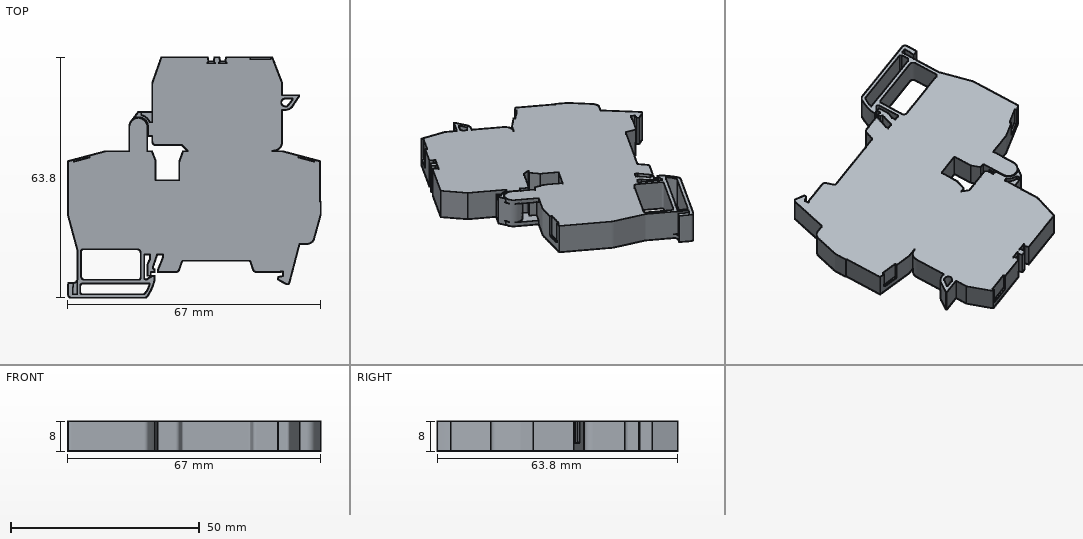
import cadquery as cq
import math

length = 67.0
height = 63.8
thickness = 8.0
joint_overlap = 0.7

side_bulge = 0.2
right_side_x = length - side_bulge
shoulder_y = 38.9
side_top_y = 36.25
shoulder_run = 10.05
wall_x = 2.5
rail_face_y = 6.85
rail_gap_y = 9.85
rail_x = 39.25
rail_top_half = 9.0
rail_bottom_half = 10.0
spring_root_y = 11.45

module_left_x = 22.3
module_corner_radius = 1.0
module_heel_radius = 2.3
module_gap = 0.1
module_gap_depth = 0.35
module_right_x = 56.75
module_bottom_y = 40.5

pivot_x = 18.6
pivot_y = 45.3
pivot_radius = 2.4
lever_top_y = 49.3
cheek_thickness = 1.2
cheek_web_y = 40.9
cheek_clearance = 0.2
lever_recess_radius = 3.3
lever_recess_y = 46.55
lever_recess_offset = 0.8
cheek_web_offset = 0.7

foot_right_x = 20.25
foot_hook_y = 4.0
foot_slot_bottom_y = 1.0
foot_web = 1.2

marker_floor_z = 2.15
marker_depth = 0.55
marker_round = 0.4
top_marker_width = 5.4
top_marker_x = 51.0
shoulder_marker_width = 4.4
shoulder_marker_inset = 3.55
notch_count = 2
notch_pitch = 3.1
notch_x = 37.9
notch_neck_depth = 1.0
notch_full_depth = 1.6
notch_pocket_depth = 2.0


def corner_arc(before, corner, after):
    """Start, middle and end of the arc that rounds a corner (x, y, radius)."""
    x, y, radius = corner
    to_before = math.atan2(before[1] - y, before[0] - x)
    to_after = math.atan2(after[1] - y, after[0] - x)
    half = abs(math.remainder(to_after - to_before, math.tau)) / 2
    bisector = to_before + math.remainder(to_after - to_before, math.tau) / 2
    tangent = radius / math.tan(half)
    inset = radius / math.sin(half) - radius

    def along(angle, distance):
        return (x + distance * math.cos(angle), y + distance * math.sin(angle))

    return along(to_before, tangent), along(bisector, inset), along(to_after, tangent)


def plate(corners, z_from=0.0, z_to=thickness):
    """Extrude a closed outline; a corner is (x, y) or (x, y, rounding radius)."""
    sketch = None
    for i, corner in enumerate(corners):
        before = corners[i - 1]
        after = corners[(i + 1) % len(corners)]
        arc = corner_arc(before, corner, after) if len(corner) == 3 else None
        start = arc[0] if arc else corner
        if sketch is None:
            sketch = cq.Workplane("XY", origin=(0, 0, z_from)).moveTo(*start)
        else:
            sketch = sketch.lineTo(*start)
        if arc:
            sketch = sketch.threePointArc(arc[1], arc[2])
    return sketch.close().extrude(z_to - z_from)


def box(x_from, x_to, y_from, y_to, z_from=0.0, z_to=thickness):
    """Axis-aligned block between two corners."""
    size = (x_to - x_from, y_to - y_from, z_to - z_from)
    return cq.Workplane("XY").box(*size, centered=False).translate((x_from, y_from, z_from))


def pivot_disc(radius, z_from=0.0, z_to=thickness):
    """Disc about the lever pivot."""
    disc = cq.Workplane("XY", origin=(pivot_x, pivot_y, z_from)).circle(radius)
    return disc.extrude(z_to - z_from)


def rail_housing():
    frame_overlap_y = 12.05
    return plate([
        (wall_x, 12.65),
        (0, 21.85, 2.55),
        (0, side_top_y),
        (shoulder_run, shoulder_y),
        (22.25, shoulder_y),
        (23.25, 36.4),
        (23.25, 31.2),
        (29.5, 31.2),
        (29.5, 36.2),
        (30.5, shoulder_y),
        (right_side_x - shoulder_run, shoulder_y),
        (right_side_x, side_top_y),
        (right_side_x, 25.5),
        (length, 25.5),
        (length, 22.1),
        (64.85, 14.3, 2.1),
        (61.4, 14.3),
        (58.5, 3.3, 0.6),
        (55.6, 4.9),
        (55.7, 5.55),
        (56.95, 5.8),
        (56.95, 7.0),
        (56.35, 7.0),
        (56.35, rail_face_y),
        (rail_x + rail_bottom_half, rail_face_y, 1.1),
        (rail_x + rail_top_half, rail_gap_y, 0.5),
        (rail_x - rail_top_half, rail_gap_y, 0.5),
        (rail_x - rail_bottom_half, rail_face_y, 1.1),
        (23.85, rail_face_y),
        (23.85, 7.5),
        (25.1, 10.7),
        (25.1, spring_root_y),
        (23.65, spring_root_y),
        (22.45, 7.9),
        (23.0, 7.6),
        (23.0, rail_face_y),
        (22.0, rail_face_y),
        (22.0, 5.8),
        (21.05, 5.8),
        (21.05, 8.85),
        (21.7, 10.3),
        (21.7, spring_root_y),
        (foot_right_x, spring_root_y),
        (foot_right_x, frame_overlap_y),
        (wall_x, frame_overlap_y),
    ])


def foot_frame():
    joint_y = 13.4
    frame = (
        cq.Workplane("XY")
        .moveTo(wall_x, joint_y)
        .lineTo(wall_x, foot_slot_bottom_y)
        .lineTo(1.3, foot_slot_bottom_y)
        .lineTo(1.3, 2.3)
        .lineTo(1.5, foot_hook_y)
        .lineTo(0.1, foot_hook_y)
        .lineTo(0, foot_hook_y - 0.55)
        .lineTo(0, 0.95)
        .threePointArc((0.3, 0.3), (0.95, 0))
        .lineTo(20.2, 0)
        .threePointArc((20.85, 0.2), (21.25, 0.7))
        .threePointArc((22.25, 2.55), (23.0, 4.7))
        .lineTo(23.0, 5.8)
        .lineTo(22.3, 5.8)
        .lineTo(21.1, 5.1)
        .threePointArc((20.5, 4.95), (foot_right_x, 5.35))
        .lineTo(foot_right_x, joint_y)
        .close()
        .extrude(thickness)
    )
    blend = 1.0
    blend_mid = blend * (1 - math.sqrt(0.5))
    web_left_x = 0.7
    web_bottom_y = 0.7
    web_right_x = wall_x + 0.35
    web = (
        cq.Workplane("XY")
        .moveTo(web_left_x, web_bottom_y)
        .lineTo(web_left_x, foot_hook_y)
        .lineTo(wall_x - blend, foot_hook_y)
        .threePointArc((wall_x - blend_mid, foot_hook_y + blend_mid), (wall_x, foot_hook_y + blend))
        .lineTo(web_right_x, foot_hook_y + blend)
        .lineTo(web_right_x, web_bottom_y)
        .close()
        .extrude(foot_web)
    )
    return frame.union(web)


def foot_windows():
    upper = plate([(3.5, 4.8, 0.95), (19.2, 4.8, 0.55), (19.2, 12.85, 0.95), (3.5, 12.85, 0.55)])
    lower = (
        cq.Workplane("XY")
        .moveTo(3.6, foot_slot_bottom_y)
        .lineTo(20.2, foot_slot_bottom_y)
        .threePointArc((21.1, 2.3), (21.65, 3.8))
        .lineTo(3.9, 3.8)
        .threePointArc((3.5, 3.6), (3.3, 3.1))
        .lineTo(3.3, 1.35)
        .close()
        .extrude(thickness)
    )
    return upper.union(lower)


def plug_module():
    foot_y = shoulder_y - 0.15
    heel = module_heel_radius
    heel_y = shoulder_y + module_gap
    heel_inset = heel * (1 - math.sqrt(0.5))
    heel_middle = (module_right_x - heel_inset, heel_y + heel_inset)
    gap_end_x = module_right_x - heel - module_gap_depth
    corner = module_corner_radius
    corner_inset = corner * (1 - math.sqrt(0.5))
    corner_middle = (module_left_x + corner_inset, module_bottom_y + corner_inset)
    block = (
        cq.Workplane("XY")
        .moveTo(24.7, height)
        .lineTo(54.15, height)
        .lineTo(module_right_x, 57.0)
        .lineTo(module_right_x, heel_y + heel)
        .threePointArc(heel_middle, (module_right_x - heel, heel_y))
        .lineTo(gap_end_x, heel_y)
        .lineTo(gap_end_x, foot_y)
        .lineTo(31.8, foot_y)
        .lineTo(30.15, module_bottom_y)
        .lineTo(module_left_x + corner, module_bottom_y)
        .threePointArc(corner_middle, (module_left_x, module_bottom_y + corner))
        .lineTo(module_left_x, 56.95)
        .close()
        .extrude(thickness)
    )
    tab_root_x = 56.3
    pull_tab = (
        cq.Workplane("XY")
        .moveTo(tab_root_x, 53.75)
        .lineTo(61.25, 53.75)
        .lineTo(61.25, 53.4)
        .lineTo(59.35, 50.6)
        .threePointArc((58.5, 50.0), (57.5, 49.8))
        .lineTo(tab_root_x, 49.8)
        .close()
        .extrude(thickness)
    )
    return block.union(pull_tab)


def pull_tab_eye():
    top_y = 52.8
    radius = 1.0
    left_x = 56.55
    bottom_y = top_y - 2 * radius
    return (
        cq.Workplane("XY")
        .moveTo(left_x + radius, top_y)
        .threePointArc((left_x, top_y - radius), (left_x + radius, bottom_y))
        .lineTo(58.1, bottom_y)
        .lineTo(59.4, 52.45)
        .lineTo(59.4, top_y)
        .close()
        .extrude(thickness)
    )


def coding_notch(x):
    """Through neck open at the top edge, above a wider blind pocket."""
    neck_top_half = 0.9
    neck_half = 0.7
    pocket_half = 1.1
    neck_y = height - notch_neck_depth
    floor_y = height - notch_full_depth
    neck = plate([
        (x - neck_top_half, height),
        (x - neck_half, neck_y),
        (x + neck_half, neck_y),
        (x + neck_top_half, height),
    ])
    pocket = plate([
        (x - neck_half, neck_y),
        (x - pocket_half, floor_y),
        (x + pocket_half, floor_y),
        (x + neck_half, neck_y),
    ], thickness - notch_pocket_depth)
    return neck.union(pocket)


def cheek_outline(radius, z_from, z_to):
    """Round-ended arm standing on the housing."""
    stem = box(pivot_x - radius, pivot_x + radius, shoulder_y - joint_overlap, pivot_y, z_from, z_to)
    return stem.union(pivot_disc(radius, z_from, z_to))


def lever():
    """Link between the module and the pivot, relieved around both cheeks."""
    rise = lever_top_y - pivot_y
    tangent_angle = math.pi / 2 + math.acos(pivot_radius / rise)
    tangent_x = pivot_x + pivot_radius * math.cos(tangent_angle)
    tangent_y = pivot_y + pivot_radius * math.sin(tangent_angle)
    joint_x = module_left_x + joint_overlap
    link = plate([
        (pivot_x, pivot_y - pivot_radius),
        (joint_x, pivot_y - pivot_radius),
        (joint_x, lever_top_y),
        (pivot_x, lever_top_y),
        (tangent_x, tangent_y),
        (pivot_x, pivot_y),
    ])
    link = link.union(pivot_disc(pivot_radius))
    relief_radius = pivot_radius + cheek_clearance
    for z_from in (0, thickness - cheek_thickness):
        link = link.cut(cheek_outline(relief_radius, z_from, z_from + cheek_thickness))
    recess_z = thickness - cheek_thickness
    recess = box(pivot_x + lever_recess_offset, module_left_x, lever_recess_y, lever_top_y, recess_z)
    return link.cut(recess.cut(pivot_disc(lever_recess_radius)))


def cheeks():
    lower = cheek_outline(pivot_radius, 0, cheek_thickness)
    upper = lower.translate((0, 0, thickness - cheek_thickness))
    web = box(pivot_x + cheek_web_offset, pivot_x + pivot_radius, shoulder_y - joint_overlap, cheek_web_y)
    return lower.union(upper).union(web)


def marker_pocket(width):
    """Shallow pocket in a top edge, centred on X with the edge along y = 0."""
    pocket = box(-width / 2, width / 2, -marker_depth, marker_depth, marker_floor_z)
    return pocket.edges("|Y and <Z").fillet(marker_round)


def shoulder_pocket(side):
    """Marker pocket in the left (side = -1) or right (side = 1) shoulder."""
    drop = shoulder_y - side_top_y
    slope = math.degrees(math.atan2(drop, shoulder_run))
    x = shoulder_marker_inset if side < 0 else right_side_x - shoulder_marker_inset
    y = side_top_y + drop * shoulder_marker_inset / shoulder_run
    pocket = marker_pocket(shoulder_marker_width).rotate((0, 0, 0), (0, 0, 1), -side * slope)
    return pocket.translate((x, y, 0))


body = rail_housing().union(foot_frame()).cut(foot_windows())
body = body.union(plug_module()).cut(pull_tab_eye())
body = body.union(lever()).union(cheeks())

for index in range(notch_count):
    body = body.cut(coding_notch(notch_x + index * notch_pitch))

body = body.cut(marker_pocket(top_marker_width).translate((top_marker_x, height, 0)))
for side in (-1, 1):
    body = body.cut(shoulder_pocket(side))

result = body